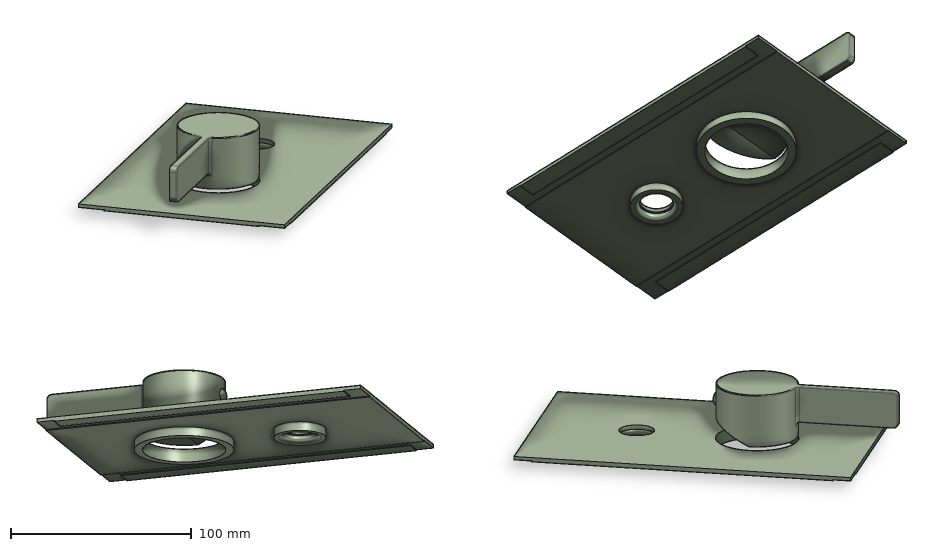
import cadquery as cq
import math

plate_width = 120.0
plate_length = 190.0
plate_front_y = -65.0
plate_thickness = 2.5
collar_height = 5.0
plate_top_z = collar_height + plate_thickness
plate_middle_y = plate_front_y + plate_length / 2

relief_depth = 0.5
center_pad_width = 90.0
side_strip_width = 10.3
side_strip_end_gap = 10.0

control_hole_diameter = 46.0
control_collar_diameter = 55.0
outlet_y = 68.0
outlet_hole_diameter = 19.5
outlet_collar_diameter = 28.7
outlet_bulge_diameter = 19.0

knob_diameter = 45.6
knob_radius = knob_diameter / 2
knob_height = 30.0
knob_top_z = 39.5
knob_bottom_z = knob_top_z - knob_height
underside_slope = 25.0

lever_width = 4.6
lever_height = 20.8
lever_tip_y = -80.0
lever_corner_radius = 3.0
edge_round = 0.5
lever_root_fillet = 1.8

dome_base_radius = 4.0
dome_height = 2.0
dome_z = 29.0


def opening(diameter, center_y):
    return cq.Workplane("XY").center(0, center_y).circle(diameter / 2).extrude(plate_top_z)


def control_collar():
    return cq.Workplane("XY").circle(control_collar_diameter / 2).extrude(collar_height)


def outlet_collar():
    """Ring with a straight outside and a half-round bore bulging inward."""
    outer_radius = outlet_collar_diameter / 2
    inner_radius = outlet_bulge_diameter / 2
    bulge_root_radius = inner_radius + collar_height / 2
    return (
        cq.Workplane("XZ", origin=(0, outlet_y, 0))
        .moveTo(outer_radius, 0)
        .lineTo(outer_radius, collar_height)
        .lineTo(bulge_root_radius, collar_height)
        .threePointArc((inner_radius, collar_height / 2), (bulge_root_radius, 0))
        .close()
        .revolve(360, (0, 0, 0), (0, 1, 0))
    )


def underside_pad(width, length, center_x):
    return (
        cq.Workplane("XY", origin=(center_x, plate_middle_y, collar_height))
        .rect(width, length)
        .extrude(relief_depth)
    )


def make_plate():
    plate = (
        cq.Workplane("XY", origin=(0, plate_middle_y, collar_height + relief_depth))
        .rect(plate_width, plate_length)
        .extrude(plate_thickness - relief_depth)
    )
    plate = plate.union(underside_pad(center_pad_width, plate_length, 0))
    strip_length = plate_length - 2 * side_strip_end_gap
    strip_x = (plate_width - side_strip_width) / 2
    for side in (-1, 1):
        plate = plate.union(underside_pad(side_strip_width, strip_length, side * strip_x))
    plate = plate.union(control_collar())
    plate = plate.cut(opening(control_hole_diameter, 0))
    plate = plate.cut(opening(outlet_hole_diameter, outlet_y))
    return plate.union(outlet_collar())


def make_lever():
    """Flat bar from the knob axis to the tip, with rounded tip corners."""
    length = -lever_tip_y
    bar = (
        cq.Workplane("XY", origin=(0, -length / 2, knob_top_z - lever_height))
        .box(lever_width, length, lever_height, centered=(True, True, False))
    )
    return bar.edges("|X and <Y").fillet(lever_corner_radius)


def underside_cut():
    """Wedge that lifts the rear half of the knob underside."""
    rise = knob_diameter * math.tan(math.radians(underside_slope))
    return (
        cq.Workplane("YZ", origin=(-knob_diameter, 0, 0))
        .moveTo(0, knob_bottom_z)
        .lineTo(knob_diameter, knob_bottom_z)
        .lineTo(knob_diameter, knob_bottom_z + rise)
        .close()
        .extrude(2 * knob_diameter)
    )


def marker_dome():
    sphere_radius = (dome_base_radius**2 + dome_height**2) / (2 * dome_height)
    sphere_y = knob_radius + dome_height - sphere_radius
    return cq.Workplane("XY", origin=(0, sphere_y, dome_z)).sphere(sphere_radius)


def root_zone():
    """Box that holds only the side and bottom edges where the lever leaves the knob."""
    margin = 0.5
    return cq.selectors.BoxSelector(
        (-lever_width, -knob_radius - margin, knob_bottom_z + margin),
        (lever_width, -knob_radius + margin, knob_top_z - margin),
    )


def make_knob():
    knob = cq.Workplane("XY", origin=(0, 0, knob_bottom_z)).circle(knob_radius).extrude(knob_height)
    knob = knob.union(make_lever())
    knob = knob.edges(root_zone()).fillet(lever_root_fillet)
    knob = knob.faces(">Z").edges("|Y").fillet(edge_round)
    return knob.cut(underside_cut()).union(marker_dome())


plate = make_plate()
knob = make_knob()
result = cq.Compound.makeCompound([plate.val(), knob.val()])